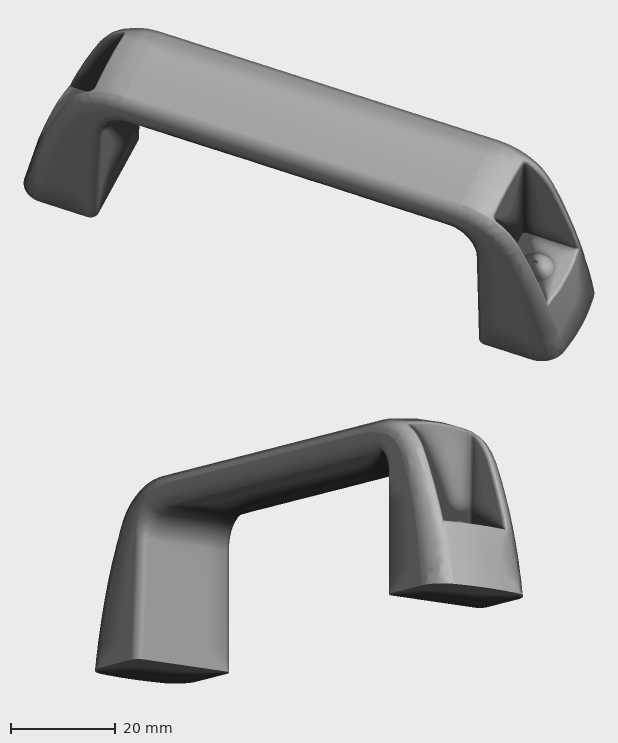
import cadquery as cq
import math

length = 112.81
height = 35.92
foot_width = 23.0
bar_width = 21.5

crown_radius = 45.0
corner_radius = 14.0
corner_x = 34.8
corner_tilt = 25.5
end_margin = 5.0

bar_thickness = 6.72
inner_foot_x = 39.4
inner_leg_x = 38.7
inner_bend_height = 23.6
inner_bend_x = 33.1

outer_foot_round = 5.0
outer_round = 3.1
inner_leg_round = 1.7
inner_bar_round = 2.95

floor_height = 12.9
pocket_width = 14.5
pocket_back_x = 41.3
pocket_draft = 1.0
pocket_cut_depth = 0.9
pocket_corner_round = 0.65
pocket_rim_round = 0.6
pocket_lip_round = 0.7

screw_x = 46.8
head_diameter = 7.2
head_height = 1.45
head_dimple_diameter = 1.0
head_dimple_depth = 0.3
head_embed = 1.0

level_tolerance = 0.1
block_overlap = 1.0
fill_corner_angle = 35.0
half_length = length / 2
rim_top_height = height - 1.6
bar_underside = height - bar_thickness
bar_mid_height = bar_underside + bar_thickness / 2
crown_edge_height = height - crown_radius + math.sqrt(crown_radius**2 - (bar_width / 2) ** 2)
trim_width = foot_width + 4.0


def outer_path():
    """Right half of the outer centre line, from mid-bar down past the base."""
    tilt = math.radians(corner_tilt)
    bend_x = corner_x + corner_radius * math.cos(tilt)
    bend_z = height - corner_radius * (1 - math.sin(tilt))
    chord_tilt = math.atan2(half_length - bend_x, bend_z)
    base_tilt = 2 * chord_tilt - tilt
    return (
        cq.Workplane("XZ")
        .moveTo(0, height)
        .lineTo(corner_x, height)
        .tangentArcPoint((bend_x, bend_z), relative=False)
        .tangentArcPoint((half_length, 0), relative=False)
        .line(end_margin * math.sin(base_tilt), -end_margin * math.cos(base_tilt))
    )


def crowned_shell():
    """Bar-thick strip with a crowned outer face, following the outer path."""
    half_width = trim_width / 2
    crown_drop = crown_radius - math.sqrt(crown_radius**2 - half_width**2)
    section = (
        cq.Workplane("YZ")
        .moveTo(-half_width, bar_underside)
        .lineTo(-half_width, height - crown_drop)
        .threePointArc((0, height), (half_width, height - crown_drop))
        .lineTo(half_width, bar_underside)
        .close()
    )
    return section.sweep(outer_path())


def leg_core():
    """Fills the leg between the strip and the inner face, with the inner bend."""
    strip_middle = corner_radius - bar_thickness / 2
    bend_center_z = height - corner_radius
    fill_angle = math.radians(fill_corner_angle)
    fill_x = corner_x + strip_middle * math.cos(fill_angle)
    fill_z = bend_center_z + strip_middle * math.sin(fill_angle)
    return (
        cq.Workplane("XZ")
        .moveTo(inner_foot_x, 0)
        .lineTo(inner_leg_x, inner_bend_height)
        .tangentArcPoint((inner_bend_x, bar_underside), relative=False)
        .lineTo(corner_x, bar_mid_height)
        .lineTo(fill_x, fill_z)
        .lineTo(half_length - bar_thickness / 2, 0)
        .close()
        .extrude(trim_width / 2, both=True)
    )


def side_envelope():
    """Tapered sides: widest at the base, narrowing to the bar."""
    slope = (foot_width - bar_width) / 2 / bar_mid_height
    top_half = foot_width / 2 - slope * height
    return (
        cq.Workplane("YZ")
        .polyline([
            (-foot_width / 2, 0),
            (foot_width / 2, 0),
            (top_half, height),
            (-top_half, height),
        ])
        .close()
        .extrude(length)
    )


def edge_near(solid, point):
    """The edge of the solid closest to the point."""
    return min(solid.Edges(), key=cq.Vertex.makeVertex(*point).distance)


def rounded(solid, points, radius_at):
    """Rounds the smooth edge chains that start at the edges nearest the points.

    The radius at every edge end follows from its height and varies linearly in between.
    """
    builder = cq.occ_impl.shapes.BRepFilletAPI_MakeFillet(solid.wrapped)
    for point in points:
        builder.Add(radius_at(point[2]), edge_near(solid, point).wrapped)
    for chain in range(1, builder.NbContours() + 1):
        for index in range(1, builder.NbEdges(chain) + 1):
            edge = cq.Edge(builder.Edge(chain, index))
            radii = [radius_at(edge.startPoint().z), radius_at(edge.endPoint().z)]
            if edge.wrapped.Orientation().name == "TopAbs_REVERSED":
                radii.reverse()
            builder.SetRadius(*radii, chain, index)
    return cq.Shape.cast(builder.Shape()).Solids()[0]


def outer_radius_at(z):
    return outer_foot_round if z < level_tolerance else outer_round


def inner_radius_at(z):
    return inner_bar_round if z > bar_underside - level_tolerance else inner_leg_round


def rounded_handle():
    """Complete bow with its long edges rounded: one leg with half the bar, mirrored."""
    half = crowned_shell().union(leg_core()).intersect(side_envelope())
    handle = half.union(half.mirror("YZ")).clean().val().Solids()[0]
    edge_y = bar_width / 2
    handle = rounded(
        handle, [(0, y, crown_edge_height) for y in (-edge_y, edge_y)], outer_radius_at
    )
    return rounded(handle, [(0, y, bar_underside) for y in (-edge_y, edge_y)], inner_radius_at)


def pocket():
    """Open recess above the screw; side walls lean outward, back corners are rounded."""
    bottom = floor_height - pocket_cut_depth
    tool_height = height - bottom
    base_half = pocket_width / 2
    top_half = base_half + tool_height * math.tan(math.radians(pocket_draft))
    return (
        cq.Workplane("YZ", origin=(pocket_back_x, 0, bottom))
        .polyline([
            (-base_half, 0),
            (base_half, 0),
            (top_half, tool_height),
            (-top_half, tool_height),
        ])
        .close()
        .extrude(half_length - pocket_back_x)
        .faces("<X")
        .edges("not |Y")
        .fillet(pocket_corner_round)
    )


def floor_block(handle):
    """Lower end of the foot, up to the pocket floor, with a rounded outer lip."""
    block_x = pocket_back_x - block_overlap
    keep = cq.Workplane("XY", origin=(block_x, 0, 0)).box(
        half_length, trim_width, floor_height, centered=(False, True, False)
    )
    foot = cq.Workplane(handle).intersect(keep).val().Solids()[0]
    lip = edge_near(foot, (half_length, 0, floor_height))
    return cq.Workplane(foot.fillet(pocket_lip_round, [lip]))


def screw_head():
    """Domed head on the pocket floor with a small dimple at its crown."""
    head_radius = head_diameter / 2
    dome_radius = (head_radius**2 + head_height**2) / (2 * head_height)
    crown_z = floor_height + head_height
    dome = cq.Workplane("XY").sphere(dome_radius).translate((screw_x, 0, crown_z - dome_radius))
    column = (
        cq.Workplane("XY", origin=(screw_x, 0, floor_height - head_embed))
        .circle(head_radius)
        .extrude(head_embed + head_height)
    )
    dimple = (
        cq.Workplane("XY", origin=(screw_x, 0, crown_z - head_dimple_depth))
        .circle(head_dimple_diameter / 2)
        .extrude(head_dimple_depth)
    )
    return dome.intersect(column).cut(dimple)


def cut_both(body, tool):
    """Cuts the tool and its mirror image from the body."""
    return body.cut(tool).cut(tool.mirror("YZ"))


def join_both(body, addition):
    """Joins the addition and its mirror image to the body."""
    return body.union(addition).union(addition.mirror("YZ"))


plain_handle = rounded_handle()
pocketed = cut_both(cq.Workplane(plain_handle), pocket()).val().Solids()[0]
rims = [edge_near(pocketed, (x, 0, rim_top_height)) for x in (-pocket_back_x, pocket_back_x)]
result = cq.Workplane(pocketed.fillet(pocket_rim_round, rims))
result = join_both(result, floor_block(plain_handle))
result = join_both(result, screw_head())